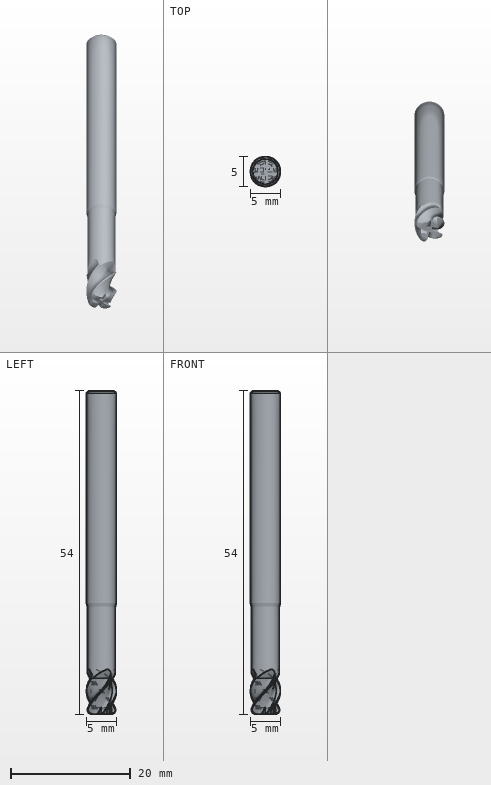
import cadquery as cq
import math


total_length = 54.0
shank_radius = 2.5
shank_chamfer = 0.4
neck_radius = 2.35
neck_top = 18.0
shoulder_angle = 15.0
cutter_radius = 2.5
cutter_length = 6.0
corner_radius = 1.0
dish_depth = 0.15

flute_count = 4
flute_step = 360.0 / flute_count
helix_angle = 44.0
lead = 2.0 * math.pi * cutter_radius / math.tan(math.radians(helix_angle))
cutter_twist = 360.0 * cutter_length / lead
core_radius = 1.4
rake_root_radius = 1.8
rake_root_angle = 3.0
gullet_mid_angle = -15.0
back_root_angle = -34.0
back_root_radius = 1.5
back_mid_angle = -63.0
back_mid_radius = 1.98
land_width_angle = 5.0
edge_stock = 0.05

runout_length = 1.5
runout_overshoot = 1.2
runout_direction = -12.0
outside = 3.0 * cutter_radius

gash_height = 1.2
gash_width = 0.7
gash_start = 0.35


def polar(radius, angle):
    """Point in the XY plane at a radius and an angle in degrees."""
    return (radius * math.cos(math.radians(angle)), radius * math.sin(math.radians(angle)))


def flute_points(edge_angle):
    """Edge, rake root, gullet middle, back root, back middle and heel of the flute ahead of one cutting edge."""
    return (
        polar(cutter_radius + edge_stock, edge_angle),
        polar(rake_root_radius, edge_angle + rake_root_angle),
        polar(core_radius, edge_angle + gullet_mid_angle),
        polar(back_root_radius, edge_angle + back_root_angle),
        polar(back_mid_radius, edge_angle + back_mid_angle),
        polar(cutter_radius + edge_stock, edge_angle - flute_step + land_width_angle),
    )


def cutter_section():
    """Closed outline of all teeth at the cutting end."""
    outline = cq.Workplane("XY").moveTo(*polar(cutter_radius + edge_stock, 0.0))
    for flute in range(flute_count):
        edge_angle = -flute * flute_step
        edge, rake_root, gullet, back_root, back_mid, heel = flute_points(edge_angle)
        outline = outline.lineTo(*rake_root).threePointArc(gullet, back_root).threePointArc(back_mid, heel)
        if flute < flute_count - 1:
            outline = outline.lineTo(*polar(cutter_radius + edge_stock, edge_angle - flute_step))
    return outline.close()


def cutter_envelope():
    """Turned blank with the corner radius and the dished end."""
    flat_radius = cutter_radius - corner_radius
    corner_mid = corner_radius * math.sqrt(0.5)
    return (
        cq.Workplane("XZ")
        .moveTo(0.0, dish_depth)
        .lineTo(flat_radius, 0.0)
        .threePointArc((flat_radius + corner_mid, corner_radius - corner_mid), (cutter_radius, corner_radius))
        .lineTo(cutter_radius, cutter_length)
        .lineTo(0.0, cutter_length)
        .close()
        .revolve(360.0, (0, 0, 0), (0, 1, 0))
    )


def end_gash(edge_angle):
    """Wedge notch ground into the end just ahead of one cutting edge."""
    return (
        cq.Workplane("YZ", origin=(gash_start, 0, 0))
        .polyline([(0.0, 0.0), (0.0, gash_height), (-gash_width, 0.0)])
        .close()
        .extrude(outside)
        .rotate((0, 0, 0), (0, 0, 1), edge_angle)
    )


def flute_runout(edge_angle):
    """Flute void that slides outward as it rises, so it fades out of the neck."""
    edge, rake_root, gullet, back_root, back_mid, heel = flute_points(edge_angle)
    void = (
        cq.Workplane("XY", origin=(0, 0, cutter_length))
        .moveTo(*polar(outside, edge_angle))
        .lineTo(*edge)
        .lineTo(*rake_root)
        .threePointArc(gullet, back_root)
        .threePointArc(back_mid, heel)
        .lineTo(*polar(outside, edge_angle - flute_step + land_width_angle))
        .close()
    )
    slide_x, slide_y = polar(neck_radius - core_radius, edge_angle + runout_direction)
    rise = cq.Vector(slide_x, slide_y, runout_length)
    return cq.Solid.extrudeLinear(void.val(), [], rise * runout_overshoot)


cutter = cutter_section().twistExtrude(cutter_length, cutter_twist).intersect(cutter_envelope())
for flute in range(flute_count):
    cutter = cutter.cut(end_gash(flute * flute_step))

shoulder_top = neck_top + (shank_radius - neck_radius) / math.tan(math.radians(shoulder_angle))
shank = (
    cq.Workplane("XZ")
    .polyline([
        (0.0, cutter_length),
        (neck_radius, cutter_length),
        (neck_radius, neck_top),
        (shank_radius, shoulder_top),
        (shank_radius, total_length - shank_chamfer),
        (shank_radius - shank_chamfer, total_length),
        (0.0, total_length),
    ])
    .close()
    .revolve(360.0, (0, 0, 0), (0, 1, 0))
)
for flute in range(flute_count):
    shank = shank.cut(cq.Workplane(flute_runout(cutter_twist + flute * flute_step)))

result = cq.Compound.makeCompound([cutter.val(), shank.val()])